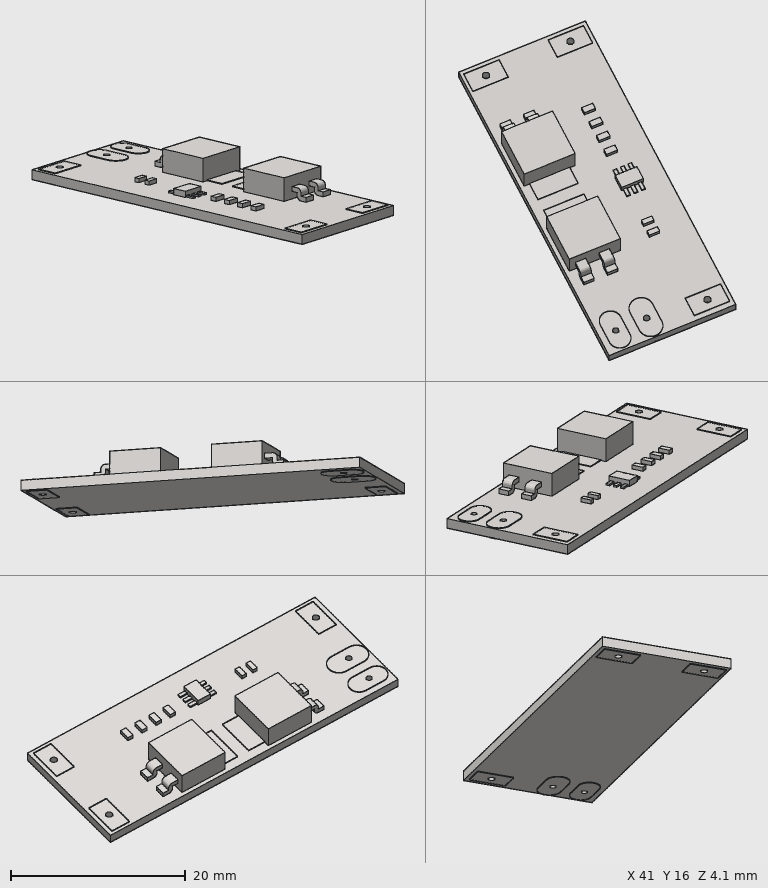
import cadquery as cq
import math

BOARD_LENGTH = 41.0
BOARD_WIDTH = 16.0
BOARD_THICKNESS = 1.2

OVERALL_HEIGHT = 4.1

PAD_THICKNESS = 0.102
RECT_PAD_SIZE = (2.5, 4.45)
RECT_PAD_HOLE = 0.8
BATTERY_PAD_X = 39.25
RECT_PAD_CENTERS = [(1.9, 2.7), (BATTERY_PAD_X, 2.7), (BATTERY_PAD_X, 13.35)]
OUTPUT_HOLE_X = 2.62
OUTPUT_PAD_X = 2.8
OUTPUT_PADS = [(13.95, 5.1, 2.6, 0.7), (10.05, 5.35, 2.83, 0.75)]

TRANSISTOR_LENGTH = 6.15
TRANSISTOR_WIDTH = 6.45
TRANSISTOR_HEIGHT = OVERALL_HEIGHT - BOARD_THICKNESS - PAD_THICKNESS
TRANSISTOR_Y = 12.25
LEFT_LEAD_FACE_X = 11.97
RIGHT_LEAD_FACE_X = 30.42
LEFT_LEAD_REACH = 2.35
RIGHT_LEAD_REACH = 2.15
TAB_LENGTH = 2.3
TAB_WIDTH = 5.1
LEAD_THICKNESS = 0.57
LEAD_WIDTH = 1.3
LEAD_FOOT = 0.78
LEAD_TOP = 1.48
LEAD_CENTERS_Y = (11.05, 14.05)

CHIP_CENTER = (19.93, 4.22)
CHIP_SIZE = (1.75, 2.75)
CHIP_HEIGHT = 0.75
CHIP_LEG_SPAN = 3.75
CHIP_LEG_WIDTH = 0.45
CHIP_LEG_HEIGHT = 0.2
CHIP_LEG_PITCH = 0.95

PASSIVE_HEIGHT = 0.5
PASSIVE_REAR_Y = 5.3
SMALL_PASSIVE_SIZE = (0.6, 1.3)
SMALL_PASSIVES_X = (12.45, 14.02)
LARGE_PASSIVE_SIZE = (0.75, 1.4)
LARGE_PASSIVE_COUNT = 4
FIRST_LARGE_PASSIVE_X = 24.2
LARGE_PASSIVE_PITCH = 2.0


def block(center, size, height, base=BOARD_THICKNESS):
    """Box of the given plan size standing on the height `base`."""
    return (
        cq.Workplane("XY", origin=(*center, base))
        .rect(*size)
        .extrude(height)
    )


def pad_pair(outline):
    """Extrude a pad outline through the board so it stands out of both faces."""
    return outline.extrude(BOARD_THICKNESS + 2 * PAD_THICKNESS)


def pad_plane(center):
    """Workplane on the underside of the lower pads."""
    return cq.Workplane("XY", origin=(*center, -PAD_THICKNESS))


def drill(body, center, diameter):
    """Cut a round hole through the board and both of its pads."""
    return body.cut(pad_pair(pad_plane(center).circle(diameter / 2)))


def lead(body_face, direction, reach, center_y):
    """Z-bent lead: foot on the board, upright leg, bar into the transistor body."""
    tip = body_face + direction * reach
    leg_outer = tip - direction * LEAD_FOOT
    leg_inner = leg_outer - direction * LEAD_THICKNESS
    bend_rise = LEAD_THICKNESS * math.sin(math.radians(45))
    bend_run = direction * bend_rise
    bar_bottom = LEAD_TOP - LEAD_THICKNESS
    return (
        cq.Workplane("XZ", origin=(0, center_y, BOARD_THICKNESS))
        .moveTo(tip, 0)
        .lineTo(tip, LEAD_THICKNESS)
        .lineTo(leg_outer, LEAD_THICKNESS)
        .lineTo(leg_outer, bar_bottom)
        .threePointArc((leg_inner + bend_run, bar_bottom + bend_rise), (leg_inner, LEAD_TOP))
        .lineTo(body_face, LEAD_TOP)
        .lineTo(body_face, bar_bottom)
        .lineTo(leg_inner, bar_bottom)
        .lineTo(leg_inner, LEAD_THICKNESS)
        .threePointArc((leg_outer - bend_run, LEAD_THICKNESS - bend_rise), (leg_outer, 0))
        .close()
        .extrude(LEAD_WIDTH / 2, both=True)
    )


def transistor(body_face, direction, reach):
    """Transistor whose leads leave `body_face` along X in the given direction (+1 or -1)."""
    body_x = body_face - direction * TRANSISTOR_LENGTH / 2
    tab_x = body_x - direction * TAB_LENGTH
    body = block((body_x, TRANSISTOR_Y), (TRANSISTOR_LENGTH, TRANSISTOR_WIDTH), TRANSISTOR_HEIGHT)
    tab = block((tab_x, TRANSISTOR_Y), (TRANSISTOR_LENGTH, TAB_WIDTH), PAD_THICKNESS)
    body = body.union(tab)
    for center_y in LEAD_CENTERS_Y:
        body = body.union(lead(body_face, direction, reach, center_y))
    return body


def chip():
    """Chip body with three legs on each side."""
    body = block(CHIP_CENTER, CHIP_SIZE, CHIP_HEIGHT)
    for row in (-1, 0, 1):
        leg_center = (CHIP_CENTER[0], CHIP_CENTER[1] + row * CHIP_LEG_PITCH)
        body = body.union(block(leg_center, (CHIP_LEG_SPAN, CHIP_LEG_WIDTH), CHIP_LEG_HEIGHT))
    return body


def passive(center_x, size):
    """Plain block with its rear edge on the common rear line."""
    return block((center_x, PASSIVE_REAR_Y - size[1] / 2), size, PASSIVE_HEIGHT)


result = block((BOARD_LENGTH / 2, BOARD_WIDTH / 2), (BOARD_LENGTH, BOARD_WIDTH), BOARD_THICKNESS, base=0)

for pad_center in RECT_PAD_CENTERS:
    result = result.union(pad_pair(pad_plane(pad_center).rect(*RECT_PAD_SIZE)))
    result = drill(result, pad_center, RECT_PAD_HOLE)
for pad_y, pad_length, pad_width, hole_diameter in OUTPUT_PADS:
    result = result.union(pad_pair(pad_plane((OUTPUT_PAD_X, pad_y)).slot2D(pad_length, pad_width)))
    result = drill(result, (OUTPUT_HOLE_X, pad_y), hole_diameter)

result = result.union(transistor(LEFT_LEAD_FACE_X, -1, LEFT_LEAD_REACH))
result = result.union(transistor(RIGHT_LEAD_FACE_X, 1, RIGHT_LEAD_REACH))
result = result.union(chip())
for passive_x in SMALL_PASSIVES_X:
    result = result.union(passive(passive_x, SMALL_PASSIVE_SIZE))
for index in range(LARGE_PASSIVE_COUNT):
    passive_x = FIRST_LARGE_PASSIVE_X + index * LARGE_PASSIVE_PITCH
    result = result.union(passive(passive_x, LARGE_PASSIVE_SIZE))